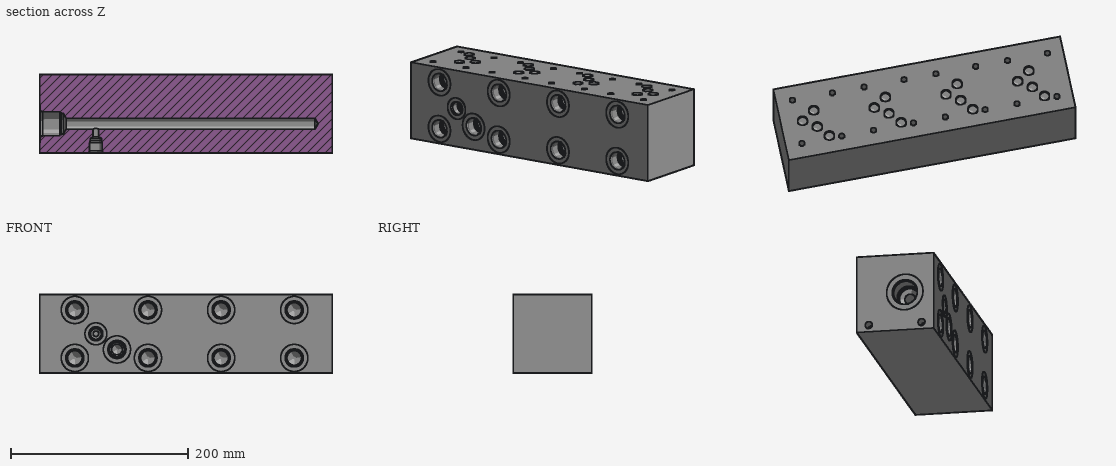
import cadquery as cq
import math

length = 330.2
side = 88.8
front_y = -side / 2
mid_z = side / 2

station_count = 4
station_pitch = 82.5

drill_point_angle = 118.0

bolt_first_x = 18.0
bolt_span_x = 46.0
bolt_span_y = 54.0
bolt_thread_diameter = 6.3
bolt_drill_diameter = 5.0
bolt_thread_depth = 15.0
bolt_drill_depth = 18.0

flow_diameter = 11.2
flow_depth = 3.0
tank_hole_x = 31.7
tank_hole_y = 23.8
work_hole_x = 43.0
work_hole_y = 10.2
pressure_hole_x = 57.8

work_port_x = 39.5
lower_port_z = 17.2
upper_port_z = 71.3
gauge_port_x = 63.5
gauge_drill_diameter = 6.3
tank_port_x = 87.2
tank_port_z = 26.7
tank_drill_diameter = 12.2

gallery_y = -11.2
gallery_diameter = 12.2
gallery_end_margin = 19.8

end_bolt_offset_y = 30.5
end_bolt_z = 8.0
end_bolt_thread_diameter = 8.0
end_bolt_drill_diameter = 6.5
end_bolt_thread_depth = 16.5
end_bolt_drill_depth = 19.8

spotface_depth = 0.3
small_port = dict(spotface=24.8, seat=16.0, thread=14.2, core=13.0, drill=12.2,
                  seat_depth=2.5, thread_depth=11.5, core_depth=14.0, depth=16.5)
medium_port = dict(spotface=30.7, seat=20.5, thread=19.0, core=17.5, drill=16.5,
                   seat_depth=2.5, thread_depth=14.0, core_depth=16.5, depth=19.0)
large_port = dict(spotface=42.0, seat=29.0, thread=27.0, core=24.8, drill=23.0,
                  seat_depth=3.3, thread_depth=22.5, core_depth=24.5, depth=26.5)


def bored_cutter(origin, direction, steps):
    """Stack (start diameter, end diameter, end depth) steps into a cutter closed by a drill point."""
    axis = cq.Vector(*direction)
    start = cq.Vector(*origin)
    end_diameter = steps[-1][1]
    end_depth = steps[-1][2]
    point_height = end_diameter / 2 / math.tan(math.radians(drill_point_angle / 2))
    cutter = None
    start_depth = 0
    for near, far, depth in steps + [(end_diameter, 0, end_depth + point_height)]:
        height = depth - start_depth
        place = start + axis * start_depth
        if near == far:
            section = cq.Solid.makeCylinder(near / 2, height, place, axis)
        else:
            section = cq.Solid.makeCone(near / 2, far / 2, height, place, axis)
        cutter = section if cutter is None else cutter.fuse(section)
        start_depth = depth
    return cutter


def tapped_hole(origin, direction, thread, drill, thread_depth, drill_depth):
    return bored_cutter(origin, direction, [(thread, thread, thread_depth), (drill, drill, drill_depth)])


def port_steps(port):
    """Spotface, conical seal seat, thread bore, thread core and pilot drill of one port."""
    return [
        (port["spotface"], port["spotface"], spotface_depth),
        (port["seat"], port["thread"], port["seat_depth"]),
        (port["thread"], port["thread"], port["thread_depth"]),
        (port["core"], port["core"], port["core_depth"]),
        (port["drill"], port["drill"], port["depth"]),
    ]


def port_with_passage(origin, direction, port, passage_diameter, passage_depth):
    """A port whose drill point is continued by a narrower passage."""
    half_angle = math.radians(drill_point_angle / 2)
    cone_height = (port["drill"] - passage_diameter) / 2 / math.tan(half_angle)
    steps = port_steps(port) + [
        (port["drill"], passage_diameter, port["depth"] + cone_height),
        (passage_diameter, passage_diameter, passage_depth),
    ]
    return bored_cutter(origin, direction, steps)


def station_cutters(offset):
    """Top face pattern and the two work ports of one valve station."""
    down = (0, 0, -1)
    inward = (0, 1, 0)
    cutters = []
    for bolt_x in (bolt_first_x, bolt_first_x + bolt_span_x):
        for bolt_y in (-bolt_span_y / 2, bolt_span_y / 2):
            cutters.append(tapped_hole((offset + bolt_x, bolt_y, side), down, bolt_thread_diameter,
                                       bolt_drill_diameter, bolt_thread_depth, bolt_drill_depth))
    flow_holes = [
        (tank_hole_x, tank_hole_y),
        (work_hole_x, work_hole_y),
        (pressure_hole_x, 0),
        (work_hole_x, -work_hole_y),
    ]
    flow_step = (flow_diameter, flow_diameter, flow_depth)
    for hole_x, hole_y in flow_holes:
        cutters.append(bored_cutter((offset + hole_x, hole_y, side), down, [flow_step]))
    for port_z in (lower_port_z, upper_port_z):
        port_centre = (offset + work_port_x, front_y, port_z)
        cutters.append(bored_cutter(port_centre, inward, port_steps(medium_port)))
    return cutters


def front_port_cutters():
    """Gauge port into the pressure gallery and tank port drilled back to the tank hole row."""
    inward = (0, 1, 0)
    gauge = port_with_passage((gauge_port_x, front_y, mid_z), inward, small_port,
                              gauge_drill_diameter, gallery_y - front_y)
    tank = port_with_passage((tank_port_x, front_y, tank_port_z), inward, medium_port,
                             tank_drill_diameter, tank_hole_y - front_y)
    return [gauge, tank]


def left_end_cutters():
    """Pressure port with its long gallery, and the two mounting holes below it."""
    inward = (1, 0, 0)
    cutters = [port_with_passage((0, gallery_y, mid_z), inward, large_port,
                                 gallery_diameter, length - gallery_end_margin)]
    for bolt_y in (-end_bolt_offset_y, end_bolt_offset_y):
        cutters.append(tapped_hole((0, bolt_y, end_bolt_z), inward, end_bolt_thread_diameter,
                                   end_bolt_drill_diameter, end_bolt_thread_depth, end_bolt_drill_depth))
    return cutters


block = cq.Workplane("XY").box(length, side, side, centered=(False, True, False))
cutters = front_port_cutters() + left_end_cutters()
for station in range(station_count):
    cutters += station_cutters(station * station_pitch)
for cutter in cutters:
    block = block.cut(cq.Workplane(obj=cutter))

result = block